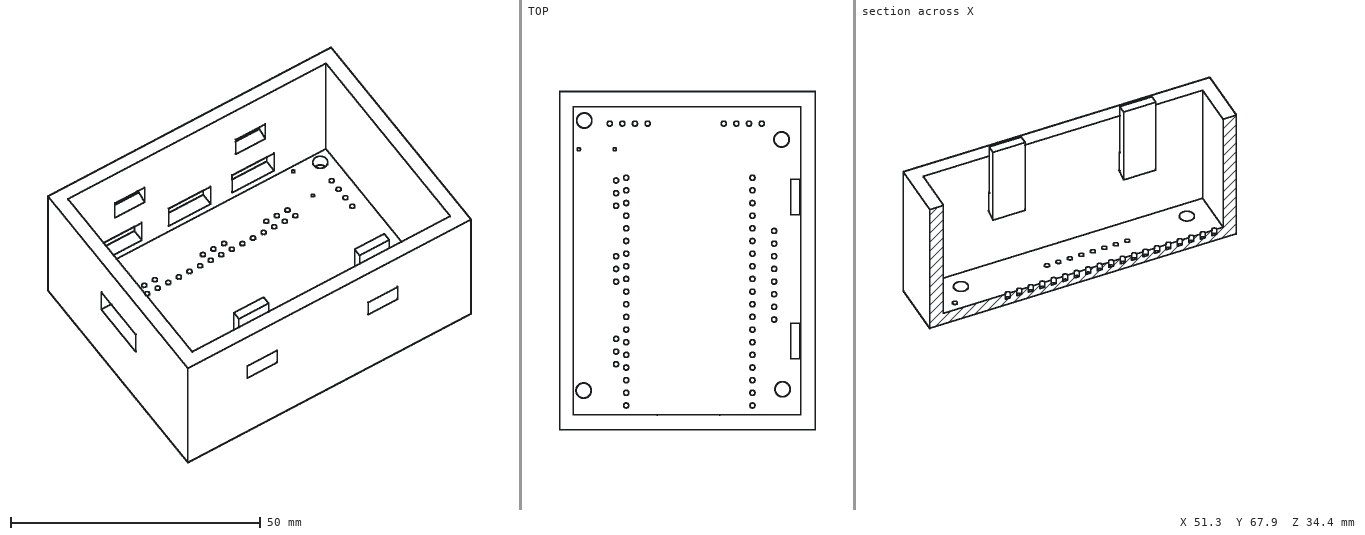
import cadquery as cq

length_x = 51.3
length_y = 67.9
housing_height = 31.85
floor_thickness = 3.0

left_wall = 2.8
right_wall = 3.0
front_wall = 3.0
back_wall = 3.05

long_column_count = 19
long_column_span = 45.7
pin_pitch = long_column_span / (long_column_count - 1)
pin_diameter = 1.0
socket_depth = 1.35
pin_rows = [(10.05, 61.45, 4), (32.9, 61.45, 4)]
pin_columns = [
    (11.35, 13.2, 3),
    (11.35, 29.75, 3),
    (11.35, 44.95, 3),
    (13.4, 4.9, long_column_count),
    (38.7, 4.9, long_column_count),
    (43.05, 22.15, 8),
]

lead_diameter = 0.66
lead_centers = [(3.9, 56.3), (11.1, 56.3)]

mount_diameter = 3.0
mount_centers = [(4.95, 62.05), (44.55, 58.25), (4.8, 7.9), (44.75, 8.15)]

window_height = 5.85
front_window_x = 19.55
front_window_z = 15.75
front_window_width = 12.6
port_width = 10.05
port_z = 4.8
port_starts = [10.65, 27.15, 42.4]

clip_width = 7.1
clip_starts = [14.25, 43.2]
clip_top = 34.4
clip_bottom = 16.3
stem_thickness = 1.8
stem_gap = 0.15
nose_bottom = 18.0
nose_top = 22.1
nose_land = 0.645
stem_outer_x = length_x - right_wall - stem_gap
stem_inner_x = stem_outer_x - stem_thickness


def box(x, y, z, size_x, size_y, size_z):
    """Box given by its lowest corner and its three sizes."""
    return cq.Workplane("XY").box(size_x, size_y, size_z, centered=False).translate((x, y, z))


def floor_holes(centers, diameter, depth):
    """Cutters for round holes going down from the top of the floor."""
    return (
        cq.Workplane("XY", origin=(0, 0, floor_thickness))
        .pushPoints(centers)
        .circle(diameter / 2)
        .extrude(-depth)
    )


def pin_centers():
    """Centres of all header pin sockets."""
    centers = []
    for x, y, count in pin_rows:
        centers += [(x + i * pin_pitch, y) for i in range(count)]
    for x, y, count in pin_columns:
        centers += [(x, y + i * pin_pitch) for i in range(count)]
    return centers


def make_clip(y):
    """Snap clip whose nose reaches the outer face of the right wall."""
    return (
        cq.Workplane("XZ", origin=(0, y, 0))
        .moveTo(stem_inner_x, clip_bottom)
        .lineTo(length_x - nose_land, nose_bottom)
        .lineTo(length_x, nose_bottom)
        .lineTo(length_x, nose_top)
        .lineTo(stem_outer_x, nose_top)
        .lineTo(stem_outer_x, clip_top)
        .lineTo(stem_inner_x, clip_top)
        .close()
        .extrude(-clip_width)
    )


def make_housing():
    """Open box with windows and clip slots in its walls and holes in its floor."""
    cavity = box(
        left_wall,
        front_wall,
        floor_thickness,
        length_x - left_wall - right_wall,
        length_y - front_wall - back_wall,
        housing_height - floor_thickness,
    )
    body = box(0, 0, 0, length_x, length_y, housing_height).cut(cavity)

    body = body.cut(
        box(front_window_x, 0, front_window_z, front_window_width, front_wall, window_height)
    )
    for y in port_starts:
        body = body.cut(box(0, y, port_z, left_wall, port_width, window_height))

    for y in clip_starts:
        clip = make_clip(y)
        body = body.cut(clip)
        body = body.cut(clip.mirror("YZ", (length_x / 2, 0, 0)))

    body = body.cut(floor_holes(mount_centers, mount_diameter, floor_thickness))
    body = body.cut(floor_holes(pin_centers(), pin_diameter, socket_depth))
    return body.cut(floor_holes(lead_centers, lead_diameter, socket_depth))


housing = make_housing()
clips = [make_clip(y) for y in clip_starts]

result = cq.Compound.makeCompound([housing.val(), *[clip.val() for clip in clips]])